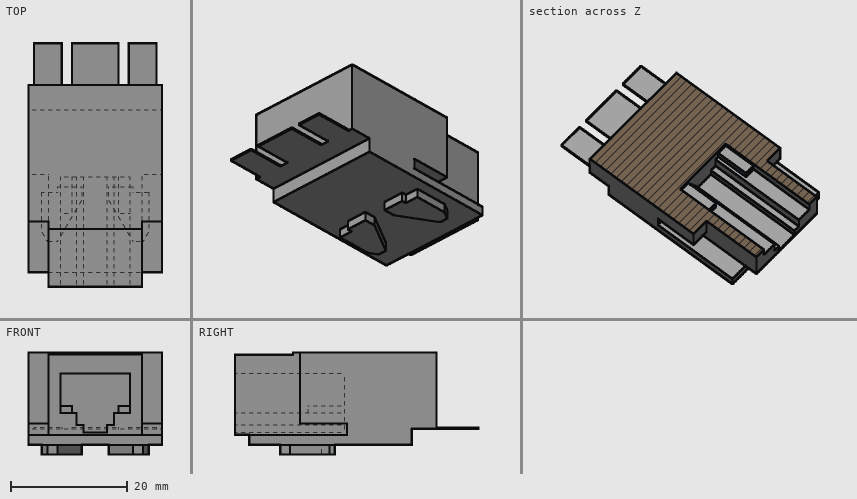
import cadquery as cq

length = 42.0
width = 23.0
height = 17.6

foot_height = 1.7
base_thickness = 1.72
base_top = foot_height + base_thickness
notch_top = 5.38
tail_bottom = 4.4
nose_top = 17.2

nose_width = 16.13
nose_step_y = 10.0
shoulder_y = 11.25
notch_back_y = 19.35
body_back_y = 34.78
base_front_y = 2.48
base_back_y = 30.5

socket_depth = 18.9
socket_top = 13.95
bay_bottom = 7.2
bay_width = 11.95
key_bottom = 5.1
key_width = 6.45
latch_bottom = 3.8
latch_width = 4.07

stop_start = 12.6
stop_width = 2.0
stop_height = 1.18

terminal_thickness = 0.25
center_terminal_width = 8.05
side_terminal_width = 4.85
side_terminal_offset = 8.15

foot_outer_x = 9.25
foot_chamfer_x = 8.25
foot_slant_x = 6.5
foot_inner_x = 2.3
foot_front_y = 7.8
foot_chamfer_y = 9.55
foot_slant_y = 14.95
foot_outer_back_y = 16.3
foot_inner_back_y = 17.2


def block(x_center, x_size, y_start, y_end, z_start, z_end):
    """Box centred on x_center in X and spanning the given Y and Z limits."""
    return cq.Workplane("XY").box(
        x_size, y_end - y_start, z_end - z_start, centered=(True, False, False)
    ).translate((x_center, y_start, z_start))


def make_housing():
    nose = block(0, nose_width, 0, shoulder_y, base_top, nose_top)
    nose_step = block(0, nose_width, nose_step_y, shoulder_y, base_top, height)
    body = block(0, width, shoulder_y, body_back_y, base_top, height)
    base = block(0, width, base_front_y, base_back_y, foot_height, base_top)
    tail_cut = block(0, width, base_back_y, body_back_y, base_top, tail_bottom)
    housing = body.union(nose).union(nose_step).cut(tail_cut)

    notch_width = (width - nose_width) / 2
    notch_x = (width + nose_width) / 4
    for side in (-1, 1):
        notch = block(side * notch_x, notch_width, shoulder_y, notch_back_y, base_top, notch_top)
        housing = housing.cut(notch)
    return housing.union(base)


def make_socket():
    bay = block(0, bay_width, 0, socket_depth, bay_bottom, socket_top)
    key = block(0, key_width, 0, socket_depth, key_bottom, socket_top)
    latch = block(0, latch_width, 0, socket_depth, latch_bottom, socket_top)
    socket = bay.union(key).union(latch)
    stop_x = (bay_width - stop_width) / 2
    stop_top = bay_bottom + stop_height
    for side in (-1, 1):
        stop = block(side * stop_x, stop_width, stop_start, socket_depth, bay_bottom, stop_top)
        socket = socket.cut(stop)
    return socket


def make_terminal(x_center, terminal_width):
    terminal_top = tail_bottom + terminal_thickness
    return block(x_center, terminal_width, body_back_y, length, tail_bottom, terminal_top)


def make_foot(side):
    """Foot with a chamfered outer corner, a slanted inner flank and a stepped back."""
    outline = [
        (foot_outer_x, foot_chamfer_y),
        (foot_chamfer_x, foot_front_y),
        (foot_slant_x, foot_front_y),
        (foot_inner_x, foot_slant_y),
        (foot_inner_x, foot_inner_back_y),
        (foot_slant_x, foot_inner_back_y),
        (foot_slant_x, foot_outer_back_y),
        (foot_outer_x, foot_outer_back_y),
    ]
    points = [(side * x, y) for x, y in outline]
    return cq.Workplane("XY").polyline(points).close().extrude(foot_height)


result = make_housing().cut(make_socket())
result = result.union(make_terminal(0, center_terminal_width))
for side in (-1, 1):
    result = result.union(make_terminal(side * side_terminal_offset, side_terminal_width))
    result = result.union(make_foot(side))